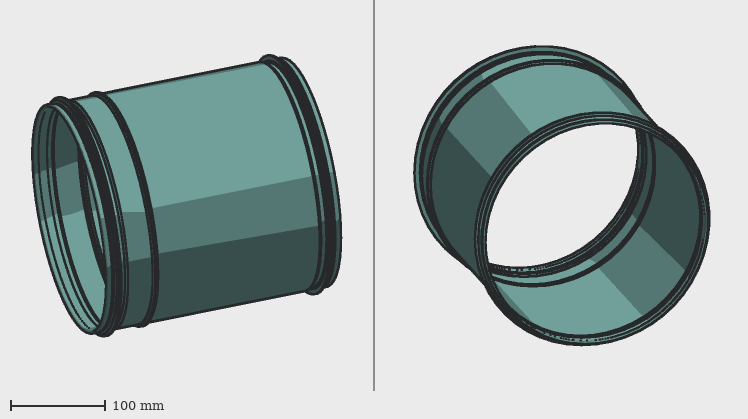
import cadquery as cq

LENGTH = 264.0
WALL = 0.5

tube_radius = 249.0 / 2
groove_radius = 244.2 / 2
bead_radius = 254.2 / 2
bore_radius = groove_radius - WALL
seat_radius = 245.3 / 2

hem_round = (tube_radius - bore_radius) / 2
seat_start = 6.9
seat_end = 16.5
groove_end = 24.5
groove_slope = 2.6
groove_floor_end = groove_end - groove_slope

bead_depth = 55.2
bead_foot_width = 6.3
bead_crest_width = 2.0

band_radius = 248.0 / 2
lip_radius = bead_radius
flange_radius = 259.2 / 2
lip_root_depth = 8.2
lip_tip_depth = 10.5
lip_thickness = 0.8
flange_depth = 13.7
flange_thickness = 1.5

half_length = LENGTH / 2


def end_outline():
    """(radius, depth) points of the outer skin from the rounded end to the groove's far edge."""
    return [
        (tube_radius, hem_round),
        (tube_radius, seat_start),
        (seat_radius, seat_start),
        (seat_radius, seat_end),
        (groove_radius, seat_end),
        (groove_radius, groove_floor_end),
        (tube_radius, groove_end),
    ]


def end_bore():
    """(radius, depth) points of the inner skin at an end: a straight hem, then the far groove wall."""
    return [
        (bore_radius, hem_round),
        (bore_radius, groove_floor_end),
        (tube_radius - WALL, groove_end),
    ]


def bead_outline():
    """(radius, depth) points of the stop bead, from the -Y end inward."""
    return [
        (tube_radius, bead_depth - bead_foot_width / 2),
        (bead_radius, bead_depth - bead_crest_width / 2),
        (bead_radius, bead_depth + bead_crest_width / 2),
        (tube_radius, bead_depth + bead_foot_width / 2),
    ]


def revolve_about_axis(outline):
    """Turn a closed XY outline once around the Y axis."""
    return outline.revolve(360, (0, 0, 0), (0, 1, 0))


def make_tube():
    """Thin sheet tube with a hemmed, grooved collar at each end and one bead formed through the wall."""
    low_side = [(r, depth - half_length) for r, depth in end_outline() + bead_outline()]
    high_side = [(r, half_length - depth) for r, depth in reversed(end_outline())]
    low_bore = [(r, depth - half_length) for r, depth in end_bore()]
    bead_bore = [(r - WALL, depth - half_length) for r, depth in bead_outline()]
    high_bore = [(r, half_length - depth) for r, depth in end_bore()]
    bore_downward = high_bore + list(reversed(low_bore + bead_bore))
    hem_middle = (tube_radius + bore_radius) / 2
    outline = (
        cq.Workplane("XY")
        .polyline(low_side + high_side)
        .threePointArc((hem_middle, half_length), bore_downward[0])
        .polyline(bore_downward[1:], includeCurrent=True)
        .threePointArc((hem_middle, -half_length), low_side[0])
        .close()
    )
    return revolve_about_axis(outline)


def make_gasket(side):
    """Rubber ring seated on the seat at one end, with a slanted lip and a flat flange; side is -1 or +1."""
    points = [
        (seat_radius, seat_start),
        (band_radius, seat_start),
        (band_radius, lip_root_depth),
        (lip_radius, lip_tip_depth),
        (lip_radius, lip_tip_depth + lip_thickness),
        (band_radius, lip_root_depth + lip_thickness),
        (band_radius, flange_depth),
        (flange_radius, flange_depth),
        (flange_radius, flange_depth + flange_thickness),
        (band_radius, flange_depth + flange_thickness),
        (band_radius, seat_end),
        (seat_radius, seat_end),
    ]
    placed_points = [(r, side * (half_length - depth)) for r, depth in points]
    return revolve_about_axis(cq.Workplane("XY").polyline(placed_points).close())


tube = make_tube()
gaskets = [make_gasket(side) for side in (-1, 1)]

result = cq.Compound.makeCompound([tube.val(), *[gasket.val() for gasket in gaskets]])